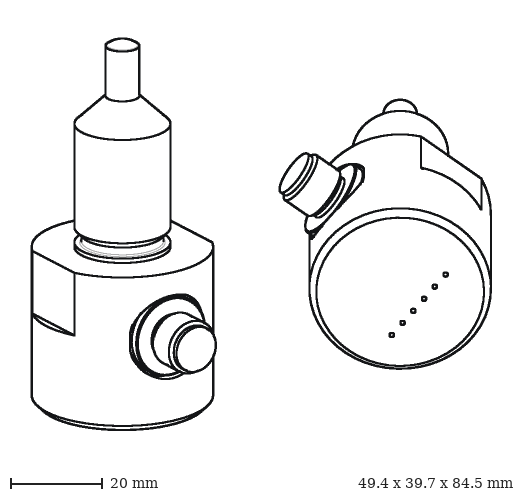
import cadquery as cq

bump_radius = 0.5
bump_count = 6
bump_pitch = 3.8
bump_row_x = -5.15

base_radius = 19.85
base_height = 36.0
base_chamfer = 1.5
base_bottom = bump_radius
base_top = base_bottom + base_height

flat_spacing = 36.0
flat_height = 14.5
flats_clearance = 4 * base_radius

stem_radius = 21.0 / 2
neck_radius = 18.0 / 2
neck_fillet = 0.3
collar_top = base_top + 1.0
neck_top = base_top + 3.0
stem_undercut = stem_radius - neck_radius
stem_shoulder = base_top + 28.55
cone_height = 6.5
pin_radius = 3.7
pin_edge = 0.25
dome_height = 1.1
part_top = 84.5
stem_overlap = 0.85

connector_z = base_top - 14.95
seat_radius = 18.0 / 2
seat_face = 19.5
seat_chamfer = 0.25
recess_radius = 9.6
recess_floor = 17.5
connector_neck_radius = 5.15
connector_radius = 6.0
sleeve_start = 21.4
sleeve_end = 27.7
sleeve_tip = 28.4
sleeve_chamfer = connector_radius - connector_neck_radius
connector_end = 29.5


def make_base():
    """Chamfered round base with two opposite wrench flats at its top."""
    base = (
        cq.Workplane("XY", origin=(0, 0, base_bottom))
        .circle(base_radius)
        .extrude(base_height)
        .faces("<Z")
        .chamfer(base_chamfer)
    )
    flats_slab = (
        cq.Workplane("XY", origin=(0, 0, base_top - flat_height))
        .rect(flats_clearance, flat_spacing)
        .extrude(flat_height)
    )
    lower_block = (
        cq.Workplane("XY")
        .rect(flats_clearance, flats_clearance)
        .extrude(base_top - flat_height)
    )
    return base.intersect(lower_block.union(flats_slab))


def make_stem():
    """Collar, grooved neck, stem, cone and domed pin as one turned profile, rooted in the base."""
    dome_base = part_top - dome_height
    dome_rim = pin_radius - pin_edge
    dome_radius = (dome_rim**2 + dome_height**2) / (2 * dome_height)
    profile = (
        cq.Workplane("XZ")
        .moveTo(0, base_top - stem_overlap)
        .lineTo(stem_radius, base_top - stem_overlap)
        .lineTo(stem_radius, collar_top)
        .lineTo(neck_radius + neck_fillet, collar_top)
        .radiusArc((neck_radius, collar_top + neck_fillet), neck_fillet)
        .lineTo(neck_radius, neck_top)
        .lineTo(stem_radius, neck_top + stem_undercut)
        .lineTo(stem_radius, stem_shoulder)
        .lineTo(pin_radius, stem_shoulder + cone_height)
        .lineTo(pin_radius, dome_base - pin_edge)
        .lineTo(dome_rim, dome_base)
        .radiusArc((0, part_top), -dome_radius)
        .close()
    )
    return profile.revolve(360, (0, 0, 0), (0, 1, 0))


def revolve_about_connector(points):
    """Turn (x, radius) points about the connector axis."""
    return (
        cq.Workplane("XZ", origin=(0, 0, connector_z))
        .polyline(points)
        .close()
        .revolve(360, (0, 0, 0), (1, 0, 0))
    )


def make_recess():
    """Round pocket in the base wall that leaves a narrow gap around the seat."""
    return revolve_about_connector([
        (recess_floor, 0),
        (recess_floor, recess_radius),
        (base_radius, recess_radius),
        (base_radius, 0),
    ])


def make_connector():
    """Round seat carrying a necked sleeve, chamfered at both ends."""
    return revolve_about_connector([
        (0, 0),
        (0, seat_radius),
        (seat_face - seat_chamfer, seat_radius),
        (seat_face, seat_radius - seat_chamfer),
        (seat_face, connector_neck_radius),
        (sleeve_start - sleeve_chamfer, connector_neck_radius),
        (sleeve_start, connector_radius),
        (sleeve_end, connector_radius),
        (sleeve_tip, connector_neck_radius),
        (connector_end, connector_neck_radius),
        (connector_end, 0),
    ])


def make_bumps():
    """Row of round bumps, half sunk into the underside."""
    return (
        cq.Workplane("XY", origin=(bump_row_x, 0, base_bottom))
        .rarray(0.85, bump_pitch, 1, bump_count)
        .sphere(bump_radius)
    )


result = (
    make_base()
    .cut(make_recess())
    .union(make_stem())
    .union(make_connector())
    .union(make_bumps())
)